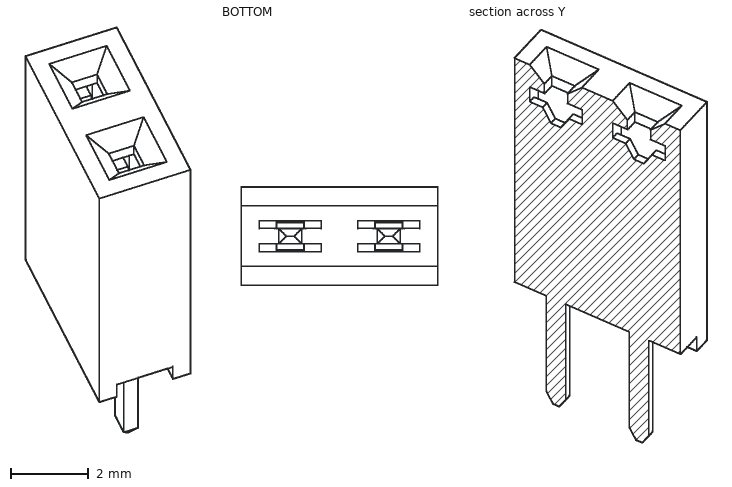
import cadquery as cq
import math

POSITIONS = 2
PITCH = 2.54
TOTAL_HEIGHT = 11.6

HOUSING_LENGTH = POSITIONS * PITCH
HOUSING_DEPTH = PITCH
HOUSING_HEIGHT = 8.4
FOOT_HEIGHT = 0.5
FOOT_DEPTH = 0.49
GROOVE_DEPTH = HOUSING_DEPTH - 2 * FOOT_DEPTH

FUNNEL_MOUTH = 1.6
ENTRY_HOLE = 0.7
FUNNEL_HEIGHT = (FUNNEL_MOUTH - ENTRY_HOLE) / 2
ENTRY_HOLE_HEIGHT = 0.35

CHAMBER_LENGTH = 1.6
CHAMBER_DEPTH = 0.8
CHAMBER_TOP = HOUSING_HEIGHT - FUNNEL_HEIGHT - ENTRY_HOLE_HEIGHT

METAL_THICKNESS = 0.4
CONTACT_CLEARANCE = 0.5
CONTACT_TOP = CHAMBER_TOP - CONTACT_CLEARANCE
NOTCH_FLOOR = 0.3
NOTCH_MOUTH = 0.8
NOTCH_WALL_ANGLE = 60
NOTCH_HEIGHT = (NOTCH_MOUTH - NOTCH_FLOOR) / 2 * math.tan(math.radians(NOTCH_WALL_ANGLE))

PIN_WIDTH = 0.6
PIN_END = HOUSING_HEIGHT - TOTAL_HEIGHT
TIP_HEIGHT = 0.34
TIP_EDGE = PIN_WIDTH - METAL_THICKNESS

CENTRES_X = [(i - (POSITIONS - 1) / 2) * PITCH for i in range(POSITIONS)]


def block(length, depth, bottom, top):
    """Box centred on the Z axis between two heights."""
    return cq.Workplane("XY").workplane(offset=bottom).rect(length, depth).extrude(top - bottom)


def xz_plate(points):
    """Sheet of contact metal centred on Y = 0, from an XZ outline."""
    return cq.Workplane("XZ").polyline(points).close().extrude(METAL_THICKNESS / 2, both=True)


def make_opening():
    """Space of one position: funnel, entry hole and contact chamber."""
    funnel_bottom = HOUSING_HEIGHT - FUNNEL_HEIGHT
    funnel = (
        cq.Workplane("XY")
        .workplane(offset=funnel_bottom)
        .rect(ENTRY_HOLE, ENTRY_HOLE)
        .workplane(offset=FUNNEL_HEIGHT)
        .rect(FUNNEL_MOUTH, FUNNEL_MOUTH)
        .loft(ruled=True)
    )
    entry_hole = block(ENTRY_HOLE, ENTRY_HOLE, CHAMBER_TOP, funnel_bottom)
    chamber = block(CHAMBER_LENGTH, CHAMBER_DEPTH, FOOT_HEIGHT, CHAMBER_TOP)
    return funnel.union(entry_hole).union(chamber)


def make_tip_trim():
    """Pair of wedges that taper the pin end in Y to an edge."""
    half_thickness = METAL_THICKNESS / 2
    taper_top = PIN_END + TIP_HEIGHT
    wedge = (
        cq.Workplane("YZ")
        .polyline([(0, PIN_END), (half_thickness, PIN_END), (half_thickness, taper_top)])
        .close()
        .extrude(PIN_WIDTH / 2, both=True)
    )
    return wedge.union(wedge.mirror("XZ"))


def make_contact():
    """Notched contact blade with its solder pin."""
    notch_bottom = CONTACT_TOP - NOTCH_HEIGHT
    right_side = [
        (TIP_EDGE / 2, PIN_END),
        (PIN_WIDTH / 2, PIN_END + TIP_HEIGHT),
        (PIN_WIDTH / 2, FOOT_HEIGHT),
        (CHAMBER_LENGTH / 2, FOOT_HEIGHT),
        (CHAMBER_LENGTH / 2, CONTACT_TOP),
        (NOTCH_MOUTH / 2, CONTACT_TOP),
        (NOTCH_FLOOR / 2, notch_bottom),
    ]
    left_side = [(-x, z) for x, z in reversed(right_side)]
    return xz_plate(right_side + left_side).cut(make_tip_trim())


def make_housing():
    """Housing block with a groove along X between its two feet."""
    housing = block(HOUSING_LENGTH, HOUSING_DEPTH, 0, HOUSING_HEIGHT)
    groove = block(HOUSING_LENGTH, GROOVE_DEPTH, 0, FOOT_HEIGHT)
    return housing.cut(groove)


result = make_housing()
opening = make_opening()
contact = make_contact()
for centre_x in CENTRES_X:
    place = (centre_x, 0, 0)
    result = result.cut(opening.translate(place)).union(contact.translate(place))